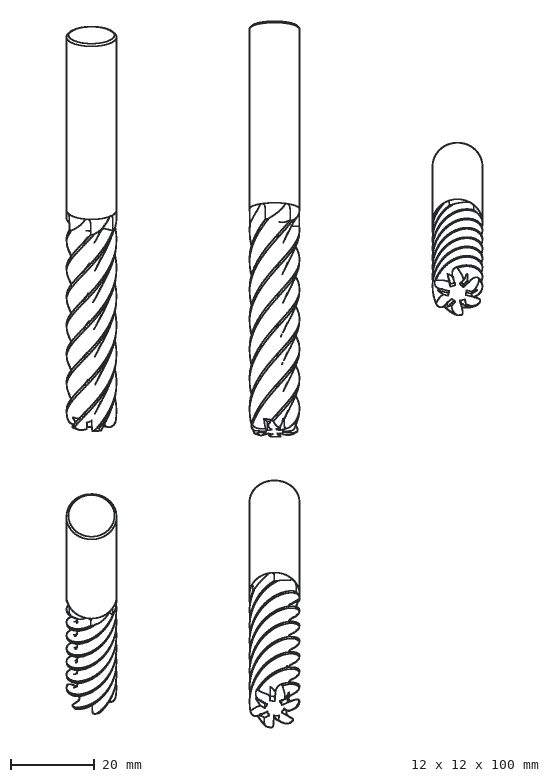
import cadquery as cq
import math

tool_radius = 6.0
tool_length = 100.0
shank_length = 45.0
shank_chamfer = 0.5

tooth_count = 6
flute_lead = 44.1
teeth_height = 51.0
corner_radius = 1.5

first_edge_angle = -6.0
land_angle = 7.0
land_end_radius = 5.95
back_middle_angle = 20.0
back_middle_radius = 5.3
back_foot_angle = 35.0
back_foot_radius = 4.0
floor_middle_angle = 47.0
core_radius = 3.4
rake_foot_angle = 60.0
rake_foot_radius = 4.2

gash_depth = 2.2
gash_width = 1.2
gash_inner_radius = 2.0

cutter_length = tool_length - shank_length
runout_height = cutter_length - teeth_height
tooth_pitch = 360.0 / tooth_count
edge_angles = [first_edge_angle + tooth * tooth_pitch for tooth in range(tooth_count)]


def polar(radius, angle):
    turn = math.radians(angle)
    return (radius * math.cos(turn), radius * math.sin(turn))


def twist_at(height):
    """Turn of the helix, in degrees, over a given height."""
    return 360.0 * height / flute_lead


def add_flute(outline, edge_angle):
    """Continue an outline from one cutting edge over the tooth back and the flute to the next edge."""
    return (
        outline.lineTo(*polar(land_end_radius, edge_angle + land_angle))
        .threePointArc(
            polar(back_middle_radius, edge_angle + back_middle_angle),
            polar(back_foot_radius, edge_angle + back_foot_angle),
        )
        .threePointArc(
            polar(core_radius, edge_angle + floor_middle_angle),
            polar(rake_foot_radius, edge_angle + rake_foot_angle),
        )
        .lineTo(*polar(tool_radius, edge_angle + tooth_pitch))
    )


def make_teeth(bottom, height):
    """Helical teeth between two heights, turned to suit the height at which they start."""
    start_angle = first_edge_angle + twist_at(bottom)
    outline = cq.Workplane("XY").workplane(offset=bottom).moveTo(*polar(tool_radius, start_angle))
    for tooth in range(tooth_count):
        outline = add_flute(outline, start_angle + tooth * tooth_pitch)
    return outline.close().twistExtrude(height, twist_at(height))


def make_gash(edge_angle):
    """Flat-bottomed slot that lies in front of one cutting edge and runs out past the rim."""
    gash = cq.Workplane("XY").box(tool_radius, gash_width, gash_depth, centered=False)
    gash = gash.translate((gash_inner_radius, -gash_width, 0))
    return gash.rotate((0, 0, 0), (0, 0, 1), edge_angle)


def make_tip():
    """End teeth with rounded corners and one gash in front of each cutting edge."""
    envelope = cq.Workplane("XY").circle(tool_radius).extrude(gash_depth)
    envelope = envelope.faces("<Z").edges().fillet(corner_radius)
    for edge_angle in edge_angles:
        envelope = envelope.cut(make_gash(edge_angle))
    return make_teeth(0, gash_depth).intersect(envelope)


def make_runout_cut(edge_angle):
    """Flute section moved up and outward along its rake face, so that the groove fades out at the shank."""
    next_edge_angle = edge_angle + tooth_pitch
    clear_radius = 2 * tool_radius
    outline = cq.Workplane("XY").workplane(offset=teeth_height).moveTo(*polar(tool_radius, edge_angle))
    outline = add_flute(outline, edge_angle)
    outline = outline.lineTo(*polar(clear_radius, next_edge_angle)).lineTo(*polar(clear_radius, edge_angle)).close()
    out_x, out_y = polar(tool_radius - core_radius, edge_angle + rake_foot_angle)
    return cq.Workplane(cq.Solid.extrudeLinear(outline.val(), [], cq.Vector(out_x, out_y, runout_height)))


def make_runout():
    runout = cq.Workplane("XY").workplane(offset=teeth_height).circle(tool_radius)
    runout = runout.extrude(runout_height)
    for edge_angle in edge_angles:
        runout = runout.cut(make_runout_cut(edge_angle + twist_at(teeth_height)))
    return runout


def make_cutter():
    """Tip, helical teeth and run-out, stacked face to face into one solid."""
    main_teeth = make_teeth(gash_depth, teeth_height - gash_depth)
    parts = [make_tip().val(), make_runout().val()]
    return cq.Workplane(main_teeth.val().fuse(*parts, glue=True).Solids()[0])


def make_shank():
    shank = cq.Workplane("XY").workplane(offset=cutter_length).circle(tool_radius).extrude(shank_length)
    return shank.faces(">Z").edges().chamfer(shank_chamfer)


shank = make_shank()
cutter = make_cutter()
result = cq.Compound.makeCompound([shank.val(), cutter.val()])